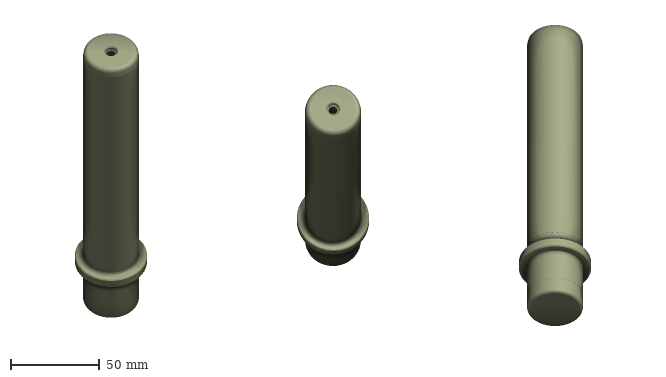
import cadquery as cq
import math

total_length = 200.0
pilot_top = 10.0
flange_bottom = 30.0
flange_thickness = 6.0
relief_top = 44.0
lead_in_length = 5.0

pin_diameter = 32.0
flange_diameter = 41.0
relief_depth = 0.1

top_round = 2.5
lead_in_angle = 8.0
bottom_round = 2.0
root_fillet = 2.0
underside_fillet = 0.5
flange_chamfer = 0.5

entry_diameter = 6.5
entry_depth = 2.0
hole_diameter = 5.0
hole_depth = 12.0
countersink_diameter = 8.0
countersink_depth = 0.8
drill_point_angle = 118.0

pin_radius = pin_diameter / 2
flange_radius = flange_diameter / 2
relief_radius = pin_radius - relief_depth
flange_top = flange_bottom + flange_thickness


def make_pin():
    """Revolve the stepped outline, then round its two ends."""
    lead_in_radius = pin_radius - lead_in_length * math.tan(math.radians(lead_in_angle))
    outline = (
        cq.Workplane("XZ")
        .lineTo(relief_radius, 0)
        .lineTo(relief_radius, pilot_top)
        .lineTo(pin_radius, pilot_top)
        .lineTo(pin_radius, flange_bottom - underside_fillet)
        .radiusArc((pin_radius + underside_fillet, flange_bottom), underside_fillet)
        .lineTo(flange_radius - flange_chamfer, flange_bottom)
        .lineTo(flange_radius, flange_bottom + flange_chamfer)
        .lineTo(flange_radius, flange_top - flange_chamfer)
        .lineTo(flange_radius - flange_chamfer, flange_top)
        .lineTo(relief_radius + root_fillet, flange_top)
        .radiusArc((relief_radius, flange_top + root_fillet), root_fillet)
        .lineTo(relief_radius, relief_top)
        .lineTo(pin_radius, relief_top)
        .lineTo(pin_radius, total_length - lead_in_length)
        .lineTo(lead_in_radius, total_length)
        .lineTo(0, total_length)
        .close()
    )
    pin = outline.revolve(360, (0, 0, 0), (0, 1, 0))
    return pin.faces(">Z").edges().fillet(top_round).faces("<Z").edges().fillet(bottom_round)


def make_centre_hole():
    """Countersunk, stepped blind hole with a conical drill point, as a cutting solid."""
    entry_radius = entry_diameter / 2
    hole_radius = hole_diameter / 2
    hole_bottom = total_length - hole_depth
    point_depth = hole_radius / math.tan(math.radians(drill_point_angle / 2))
    outline = (
        cq.Workplane("XZ")
        .moveTo(0, total_length)
        .lineTo(countersink_diameter / 2, total_length)
        .lineTo(entry_radius, total_length - countersink_depth)
        .lineTo(entry_radius, total_length - entry_depth)
        .lineTo(hole_radius, total_length - entry_depth)
        .lineTo(hole_radius, hole_bottom)
        .lineTo(0, hole_bottom - point_depth)
        .close()
    )
    return outline.revolve(360, (0, 0, 0), (0, 1, 0))


result = make_pin().cut(make_centre_hole())